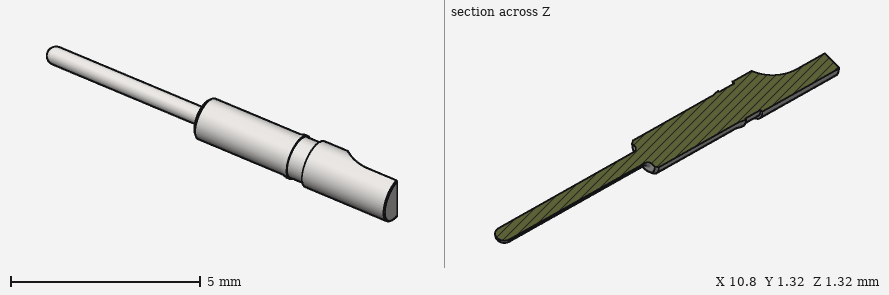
import cadquery as cq
import math

total_length = 10.79
shoulder_x = 4.82
barb_start_x = 7.54
barb_crest_x = 7.67
barb_end_x = 7.74
cup_start_x = 8.24

pin_radius = 0.25
body_radius = 0.585
barb_radius = 0.62
cup_radius = 0.66

neck_fillet = 0.13
shoulder_chamfer = 0.08
cup_end_chamfer = 0.03

scoop_radius = 1.1
scoop_floor_y = 0.0
scoop_tangent_x = 9.88
cut_margin = 0.5


def make_turned_body():
    """Revolve the pin, shoulder, retention barb and cup about the X axis."""
    diagonal = math.sqrt(0.5)
    tip_mid = (pin_radius * (1 - diagonal), pin_radius * diagonal)
    neck_start_x = shoulder_x - neck_fillet
    neck_outer_radius = pin_radius + neck_fillet
    neck_mid = (neck_start_x + neck_fillet * diagonal, neck_outer_radius - neck_fillet * diagonal)
    half_profile = (
        cq.Workplane("XY")
        .moveTo(0, 0)
        .threePointArc(tip_mid, (pin_radius, pin_radius))
        .lineTo(neck_start_x, pin_radius)
        .threePointArc(neck_mid, (shoulder_x, neck_outer_radius))
        .lineTo(shoulder_x, body_radius - shoulder_chamfer)
        .lineTo(shoulder_x + shoulder_chamfer, body_radius)
        .lineTo(barb_start_x, body_radius)
        .lineTo(barb_crest_x, barb_radius)
        .lineTo(barb_end_x, barb_radius)
        .lineTo(barb_end_x, body_radius)
        .lineTo(cup_start_x, body_radius)
        .lineTo(cup_start_x, cup_radius)
        .lineTo(total_length - cup_end_chamfer, cup_radius)
        .lineTo(total_length, cup_radius - cup_end_chamfer)
        .lineTo(total_length, 0)
        .close()
    )
    return half_profile.revolve(360, (0, 0, 0), (1, 0, 0))


def make_scoop_cutter():
    """Flat cut on the axis plane, rising to the cup wall through a tangent arc."""
    arc_centre_y = scoop_floor_y + scoop_radius

    def arc_point(y):
        run = math.sqrt(scoop_radius**2 - (arc_centre_y - y) ** 2)
        return (scoop_tangent_x - run, y)

    arc_top = arc_point(cup_radius)
    arc_mid = arc_point((scoop_floor_y + cup_radius) / 2)
    outer_x = total_length + cut_margin
    outer_y = cup_radius + cut_margin
    return (
        cq.Workplane("XY")
        .moveTo(outer_x, scoop_floor_y)
        .lineTo(scoop_tangent_x, scoop_floor_y)
        .threePointArc(arc_mid, arc_top)
        .lineTo(arc_top[0], outer_y)
        .lineTo(outer_x, outer_y)
        .close()
        .extrude(cup_radius + cut_margin, both=True)
    )


result = make_turned_body().cut(make_scoop_cutter())